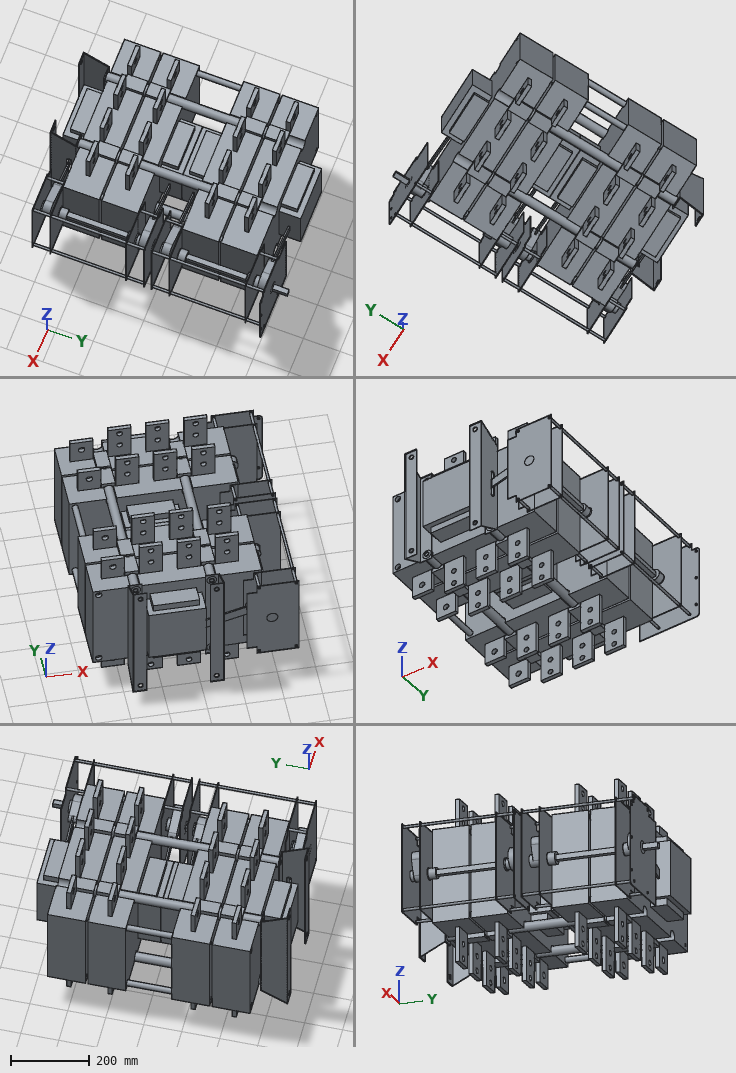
import cadquery as cq
import math


POLE_LENGTH = 440.5
POLE_DEPTH = 100.0
POLE_HALF_HEIGHT = 126.5
POLE_GAP = 6.0
UNIT_PITCH = 327.0
FIRST_UNIT_Y = 181.0
UNIT_CENTRES = [FIRST_UNIT_Y, FIRST_UNIT_Y + UNIT_PITCH]
POLE_INNER = POLE_GAP / 2
POLE_OUTER = POLE_INNER + POLE_DEPTH

TERMINAL_COUNT = 4
TERMINAL_PITCH = 99.0
TERMINAL_WIDTH = 60.0
TERMINAL_THICKNESS = 11.0
TERMINAL_OFFSET = 54.0
TERMINAL_HEIGHT = 441.0
NEUTRAL_HEIGHT = 383.0
TERMINAL_HOLE = 14.0
NEUTRAL_HOLE = 16.0
INNER_HOLE_Z = 164.0
OUTER_HOLE_Z = 204.0
CENTRE_X = 209.5

ROD_DIAMETER = 25.0
ROD_BORE = 29.0
ROD_SPACER = 34.0
ROD_Z = 119.5
ROD_X = [CENTRE_X - TERMINAL_PITCH, CENTRE_X + TERMINAL_PITCH]
CLAMP_WIDTH = 36.0
CLAMP_TOP = 138.5

TUBE_DIAMETER = 16.0
TUBE_BORE = 7.0
TUBE_RECESS = 10.0
TUBE_INSET = 15.5
TUBE_Z = 112.5

BOX_WIDTH = 150.0
BOX_PROJECTION = 60.0
CORE_WIDTH = 121.0
CORE_HEIGHT = 187.0
CORE_PROJECTION = 45.0

BRACKET_DEPTH = 72.0
BRACKET_SHEET = 3.0
BRACKET_FLANGE = 36.5
BRACKET_FRONT_HALF = 174.5
BRACKET_BACK_HALF = 138.5
BRACKET_HOLE = 13.0
BRACKET_HOLE_Z = 155.0
BRACKET_WEB_OFFSET = 20.5
SLOT_LENGTH = 81.5
SLOT_WIDTH = 13.0
SLOT_Y = 52.0

SHAFT_X = 459.0
SHAFT_SIDE = 14.0
SHAFT_END = 703.5
PLATE_SHEET = 2.0
PLATE_OFFSET = 153.5
PLATE_LEFT = 392.5
PLATE_STEP_X = 418.5
PLATE_RIGHT = 528.0
PLATE_HALF_HEIGHT = 119.5
PLATE_TAB_HALF = 98.0
BACK_LEFT = 366.0
BACK_RIGHT = 551.5
BACK_BOTTOM = -129.5
BACK_CORNER = 10.0
BACK_HOLE = 6.5
BACK_HOLE_X = 542.0
BACK_HOLE_PITCH = 88.5
PIN_DIAMETER = 7.0
PIN_HOLE = 5.5
PIN_Z = 112.5
SHORT_PIN_X = 425.0
LONG_PIN_X = 521.0
COLLAR_LENGTH = 72.0
COLLARS = [29.0, 34.0]
FLANGE_DIAMETER = 34.0
FLANGE_THICKNESS = 3.5

LEVER_WIDTH = 22.5
LEVER_OFFSET = 131.0
LINK_ANGLE = 15
LINK_HEIGHT = 24.5
LINK_THICKNESS = 4.0
PIVOT_X = 407.0
PIVOT_Z = 20.5
FRONT_LEVER = [(409.5, 24.0, 14.0), (470.0, 40.0, 20.0), (SHAFT_X, 0, FLANGE_DIAMETER / 2)]
REAR_LEVER = [(407.0, PIVOT_Z, 12.0), (452.0, 14.0, 30.0)]


def block(x0, x1, y0, y1, z0, z1):
    """Axis-aligned block between two corners."""
    return cq.Workplane("XY").box(x1 - x0, y1 - y0, z1 - z0, centered=False).translate((x0, y0, z0))


def rod(x, z, diameter, y0, y1):
    """Round bar along Y."""
    return cq.Workplane("XZ", origin=(x, y0, z)).circle(diameter / 2).extrude(y0 - y1)


def terminal(x, y, height, hole, hole_heights):
    """Flat bar standing out above and below a pole, drilled at both ends."""
    half = TERMINAL_WIDTH / 2
    y0 = y - TERMINAL_THICKNESS / 2
    y1 = y + TERMINAL_THICKNESS / 2
    bar = block(x - half, x + half, y0, y1, -height / 2, height / 2)
    for z in hole_heights:
        for side in (-1, 1):
            bar = bar.cut(rod(x, side * z, hole, y0, y1))
    return bar


def terminal_row(y):
    """Single-hole neutral terminal on the left, then the two-hole phase terminals."""
    first = CENTRE_X - TERMINAL_PITCH * (TERMINAL_COUNT - 1) / 2
    heights = [INNER_HOLE_Z, OUTER_HOLE_Z]
    row = terminal(first, y, NEUTRAL_HEIGHT, NEUTRAL_HOLE, [INNER_HOLE_Z])
    for i in range(1, TERMINAL_COUNT):
        x = first + i * TERMINAL_PITCH
        row = row.union(terminal(x, y, TERMINAL_HEIGHT, TERMINAL_HOLE, heights))
    return row


def pole(centre, side):
    """Pole block with terminals and clamps, on one side (-1 front, 1 rear) of a unit's middle."""
    y0, y1 = sorted((centre + side * POLE_INNER, centre + side * POLE_OUTER))
    body = block(0, POLE_LENGTH, y0, y1, -POLE_HALF_HEIGHT, POLE_HALF_HEIGHT)
    for x in ROD_X:
        for z in (-ROD_Z, ROD_Z):
            body = body.cut(rod(x, z, ROD_BORE, y0, y1))
    body = body.union(terminal_row(centre + side * TERMINAL_OFFSET))
    outer = TERMINAL_OFFSET + TERMINAL_THICKNESS / 2
    c0, c1 = sorted((centre + side * POLE_INNER, centre + side * outer))
    for x in ROD_X:
        left = x - CLAMP_WIDTH / 2
        for z0, z1 in ((POLE_HALF_HEIGHT, CLAMP_TOP), (-CLAMP_TOP, -POLE_HALF_HEIGHT)):
            body = body.union(block(left, left + CLAMP_WIDTH, c0, c1, z0, z1))
    return body


def drive_box(centre, side):
    """Square box with a taller, narrower core, on the outer face of a pole."""
    face = centre + side * POLE_OUTER
    parts = []
    for width, height, projection in (
        (BOX_WIDTH, BOX_WIDTH, BOX_PROJECTION),
        (CORE_WIDTH, CORE_HEIGHT, CORE_PROJECTION),
    ):
        y0, y1 = sorted((face, face + side * projection))
        left = CENTRE_X - width / 2
        parts.append(block(left, left + width, y0, y1, -height / 2, height / 2))
    return parts[0].union(parts[1])


def gap_spacers(centre):
    """Round spacers between the two poles of a unit."""
    y0 = centre - POLE_INNER
    y1 = centre + POLE_INNER
    spots = [(x, ROD_Z, ROD_SPACER) for x in ROD_X]
    spots.append((POLE_LENGTH - TUBE_INSET, TUBE_Z, TUBE_DIAMETER))
    spacers = cq.Workplane("XY")
    for x, z, diameter in spots:
        for side in (-1, 1):
            spacers = spacers.add(rod(x, side * z, diameter, y0, y1))
    return spacers.combine()


def tie_rods():
    """Rods from the brackets through all poles, ending at the clamps of the last pole."""
    end = UNIT_CENTRES[1] + TERMINAL_OFFSET
    rods = cq.Workplane("XY")
    for x in ROD_X:
        for z in (-ROD_Z, ROD_Z):
            rods = rods.add(rod(x, z, ROD_DIAMETER, BRACKET_DEPTH, end))
    return rods.combine()


def bracket(x, side):
    """Channel with tapered web; side is where the web lies (-1 left, 1 right)."""
    web = x + side * BRACKET_WEB_OFFSET
    tip = web - side * BRACKET_FLANGE
    x0, x1 = sorted((web, tip))
    outline = [
        (0, -BRACKET_FRONT_HALF),
        (BRACKET_DEPTH, -BRACKET_BACK_HALF),
        (BRACKET_DEPTH, BRACKET_BACK_HALF),
        (0, BRACKET_FRONT_HALF),
    ]
    solid = cq.Workplane("YZ", origin=(x0, 0, 0)).polyline(outline).close().extrude(x1 - x0)
    hollow0, hollow1 = sorted((web - side * BRACKET_SHEET, tip))
    back_flange = BRACKET_DEPTH - BRACKET_SHEET
    half = BRACKET_FRONT_HALF
    solid = solid.cut(block(hollow0, hollow1, BRACKET_SHEET, back_flange, -half, half))
    for z in (-BRACKET_HOLE_Z, BRACKET_HOLE_Z):
        solid = solid.cut(rod(x, z, BRACKET_HOLE, 0, BRACKET_SHEET))
    for z in (-ROD_Z, ROD_Z):
        solid = solid.cut(rod(x, z, BRACKET_HOLE, back_flange, BRACKET_DEPTH))
    return solid


def web_slot():
    """Round-ended slot through the right bracket's web, where the front link passes."""
    web = ROD_X[1] + BRACKET_WEB_OFFSET
    slot = cq.Workplane("YZ", origin=(web - BRACKET_SHEET, SLOT_Y, 0)).slot2D(SLOT_LENGTH, SLOT_WIDTH, 90)
    return slot.extrude(BRACKET_SHEET)


def bearing_plate(y):
    """Thin plate centred on y, with a shorter tab on its left."""
    y0 = y - PLATE_SHEET / 2
    y1 = y + PLATE_SHEET / 2
    plate = block(PLATE_STEP_X, PLATE_RIGHT, y0, y1, -PLATE_HALF_HEIGHT, PLATE_HALF_HEIGHT)
    return plate.union(block(PLATE_LEFT, PLATE_STEP_X, y0, y1, -PLATE_TAB_HALF, PLATE_TAB_HALF))


def back_plate(y):
    """Rearmost plate, wider, with a drilled flange on its right."""
    y0 = y - PLATE_SHEET / 2
    y1 = y + PLATE_SHEET / 2
    plate = block(BACK_LEFT, BACK_RIGHT, y0, y1, BACK_BOTTOM, PLATE_TAB_HALF)
    plate = plate.edges("|Y and >X").fillet(BACK_CORNER)
    for i in (-1, 0, 1):
        plate = plate.cut(rod(BACK_HOLE_X, i * BACK_HOLE_PITCH, BACK_HOLE, y0, y1))
    return plate.union(block(PLATE_STEP_X, PLATE_RIGHT, y0, y1, 0, PLATE_HALF_HEIGHT))


def bearing_frame(unit):
    """The four plates of a unit with the pins that join them."""
    centre = UNIT_CENTRES[unit]
    inner = POLE_OUTER + PLATE_SHEET / 2
    frame = bearing_plate(centre - PLATE_OFFSET)
    frame = frame.union(bearing_plate(centre - inner)).union(bearing_plate(centre + inner))
    rear = centre + PLATE_OFFSET
    frame = frame.union(back_plate(rear) if unit == 1 else bearing_plate(rear))
    half = PLATE_SHEET / 2
    for side in (-1, 1):
        z = side * PIN_Z
        for x in (SHORT_PIN_X, LONG_PIN_X):
            for y in (centre - PLATE_OFFSET, centre + PLATE_OFFSET):
                frame = frame.cut(rod(x, z, PIN_HOLE, y - half, y + half))
        for a, b in ((-PLATE_OFFSET, -inner), (inner, PLATE_OFFSET)):
            frame = frame.union(rod(SHORT_PIN_X, z, PIN_DIAMETER, centre + a + half, centre + b - half))
        ends = PLATE_OFFSET - half
        frame = frame.union(rod(LONG_PIN_X, z, PIN_DIAMETER, centre - ends, centre + ends))
    return frame


def collars(unit):
    """Round collars at both ends of a unit, through its bearing plates."""
    centre = UNIT_CENTRES[unit]
    diameter = COLLARS[unit]
    outer = PLATE_OFFSET + PLATE_SHEET / 2
    pair = rod(SHAFT_X, 0, diameter, centre - outer, centre - outer + COLLAR_LENGTH)
    pair = pair.union(rod(SHAFT_X, 0, diameter, centre + outer - COLLAR_LENGTH, centre + outer))
    if unit == 0:
        face = POLE_OUTER + PLATE_SHEET
        last = PLATE_OFFSET - PLATE_SHEET / 2 - FLANGE_THICKNESS
        for start in (-face - FLANGE_THICKNESS, face, last):
            y = centre + start
            pair = pair.union(rod(SHAFT_X, 0, FLANGE_DIAMETER, y, y + FLANGE_THICKNESS))
    return pair


def drive_shaft():
    """Square shaft from the foremost bearing plate out through the rearmost one."""
    half = SHAFT_SIDE / 2
    start = UNIT_CENTRES[0] - PLATE_OFFSET
    return block(SHAFT_X - half, SHAFT_X + half, start, SHAFT_END, -half, half)


def tangent_web(c0, c1):
    """Outline corners of the straight-sided web tangent to two circles (x, z, radius)."""
    dx = c1[0] - c0[0]
    dz = c1[1] - c0[1]
    heading = math.atan2(dz, dx)
    spread = math.acos((c0[2] - c1[2]) / math.hypot(dx, dz))
    corners = []
    for circle, turn in ((c0, 1), (c1, 1), (c1, -1), (c0, -1)):
        angle = heading + turn * spread
        x, z, radius = circle
        corners.append((x + radius * math.cos(angle), z + radius * math.sin(angle)))
    return corners


def lever(y, lobes):
    """Lever whose outline joins a chain of round lobes (x, z, radius), starting at the link pivot."""
    y0 = y - LEVER_WIDTH / 2
    y1 = y + LEVER_WIDTH / 2
    arm = cq.Workplane("XY")
    for x, z, radius in lobes:
        arm = arm.union(rod(x, z, 2 * radius, y0, y1))
    for start, end in zip(lobes, lobes[1:]):
        web = cq.Workplane("XZ", origin=(0, y0, 0)).polyline(tangent_web(start, end)).close()
        arm = arm.union(web.extrude(-LEVER_WIDTH))
    return arm


def link(y):
    """Inclined flat link from the drive box to the lever pivot."""
    length = (PIVOT_X - CENTRE_X) / math.cos(math.radians(LINK_ANGLE))
    half_sheet = LINK_THICKNESS / 2
    half_height = LINK_HEIGHT / 2
    bar = block(-length, 0, -half_sheet, half_sheet, -half_height, half_height)
    return bar.rotate((0, 0, 0), (0, 1, 0), -LINK_ANGLE).translate((PIVOT_X, y, PIVOT_Z))


def corner_tubes(assembly):
    """Tubes between the units at the left corners, bored through all the poles."""
    y0 = UNIT_CENTRES[0] + POLE_OUTER
    y1 = UNIT_CENTRES[1] - POLE_OUTER
    front = UNIT_CENTRES[0] - POLE_OUTER
    back = UNIT_CENTRES[1] + POLE_OUTER
    for z in (-TUBE_Z, TUBE_Z):
        assembly = assembly.union(rod(TUBE_INSET, z, TUBE_DIAMETER, y0, y1))
        assembly = assembly.cut(rod(TUBE_INSET, z, TUBE_BORE, front, back))
        assembly = assembly.cut(rod(TUBE_INSET, z, TUBE_DIAMETER, front, front + TUBE_RECESS))
    return assembly


result = drive_shaft()
for unit, centre in enumerate(UNIT_CENTRES):
    for side in (-1, 1):
        result = result.union(pole(centre, side)).union(drive_box(centre, side))
        lever_y = centre + side * LEVER_OFFSET
        lobes = FRONT_LEVER if side < 0 else REAR_LEVER
        result = result.union(lever(lever_y, lobes)).union(link(lever_y))
    result = result.union(gap_spacers(centre)).union(bearing_frame(unit)).union(collars(unit))
result = result.union(tie_rods())
for x, side in zip(ROD_X, (-1, 1)):
    result = result.union(bracket(x, side))
result = result.cut(web_slot())
result = corner_tubes(result)